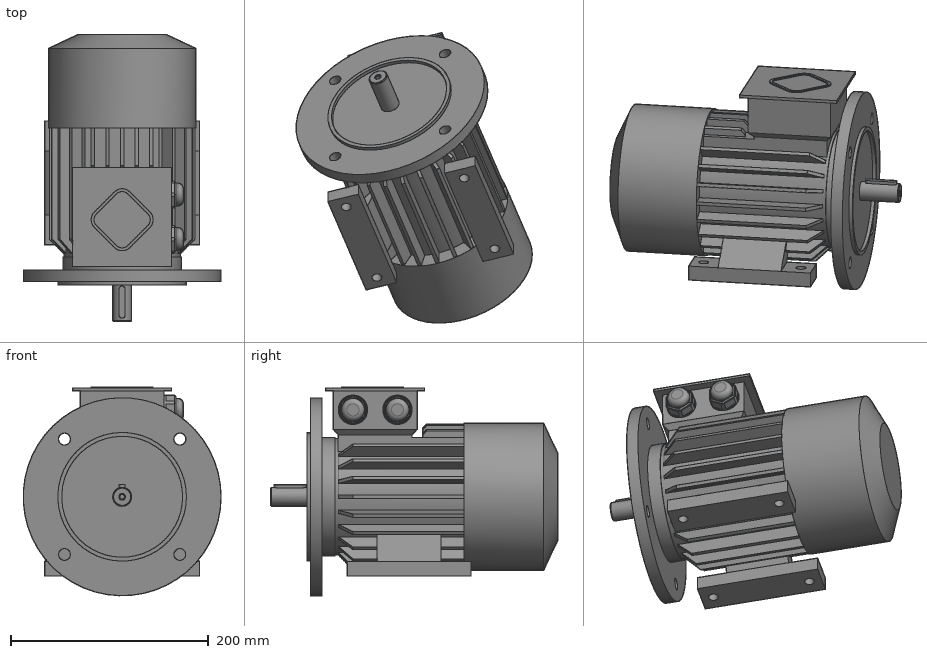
import cadquery as cq
import math


OVERALL_LENGTH = 290.0

SHAFT_TIP_Y = -40.0
SHAFT_DIA = 19.0
SHAFT_CHAMFER = 1.0
CENTRE_HOLE_DIA = 5.0
CENTRE_HOLE_DEPTH = 8.7
CENTRE_HOLE_CHAMFER = 1.0
KEY_WIDTH = 6.0
KEY_TOP_Z = 12.2
KEY_START_Y = -36.8
KEY_END_Y = -4.4

FLANGE_DIA = 200.0
FLANGE_THICKNESS = 12.0
FLANGE_HOLE_DIA = 12.0
FLANGE_HOLE_OFFSET = 58.3
PILOT_DIA = 130.0
PILOT_HEIGHT = 3.5
RECESS_DIA = 122.0
RECESS_DEPTH = 3.5

COLLAR_DIA = 120.0
COLLAR_END_Y = 25.0
BODY_DIA = 118.0
COVER_START_Y = 155.2
COVER_CONE_Y = 235.8
COVER_END_Y = SHAFT_TIP_Y + OVERALL_LENGTH
COVER_DIA = 149.0
COVER_END_DIA = 88.7

FIN_THICKNESS = 3.5
FIN_TIP_RADIUS = 73.7
FIN_START_Y = 28.5
FIN_PITCH_ANGLE = 15
FIRST_FIN_ANGLE = 135
LAST_FIN_ANGLE = 405
TOP_FIN_COUNT = 5
TOP_FIN_PITCH = 14.8
TOP_FIN_START_Y = 113.5
TOP_FIN_CHAMFER = 4.0

BOX_CENTRE_Y = 65.5
BOX_SIZE = 85.0
NECK_SIZE = 74.8
PAD_TOP_Z = 60.0
NECK_TOP_Z = 62.5
BOX_BOTTOM_Z = 68.2
LID_SIZE = 100.0
LID_BOTTOM_Z = 107.0
LID_TOP_Z = 110.0
EMBLEM_TOP_Z = 111.0
EMBLEM_CENTRE_Y = 62.5
EMBLEM_SIZE = 50.8
EMBLEM_CORNER_RADIUS = 11.0
EMBLEM_RIM = 3.0

GLAND_SPACING = 45.0
GLAND_Z = 88.0
GLAND_DIA = 29.5
GLAND_ACROSS_FLATS = 27.3
GLAND_FLATS_START_X = 44.0
GLAND_FLATS_END_X = 52.8
GLAND_NUT_END_X = 54.5
GLAND_TAPER_TIP_DIA = 26.7
GLAND_CAP_END_X = 61.8
GLAND_CAP_DIA = 23.2
GLAND_CAP_ROUND = 5.5

FOOT_OUTER_X = 78.3
FOOT_WIDTH = 32.5
FOOT_TOP_Z = -65.2
FOOT_BOTTOM_Z = -80.0
FOOT_START_Y = 37.0
FOOT_LENGTH = 125.3
FOOT_HOLE_DIA = 10.0
FOOT_HOLE_X = 62.5
FOOT_HOLE_SPACING = 100.0
GUSSET_LENGTH = 64.7
GUSSET_TOP_X = 45.0
GUSSET_TOP_Z = -38.3
GUSSET_ROOT_X = 34.8


def disc(diameter, start_y, end_y):
    """Cylinder on the shaft axis between two Y positions."""
    return cq.Workplane("XZ", origin=(0, start_y, 0)).circle(diameter / 2).extrude(start_y - end_y)


def box_between(x_range, y_range, z_range):
    """Box given by its limits along each axis."""
    lows = (x_range[0], y_range[0], z_range[0])
    sizes = [high - low for low, high in (x_range, y_range, z_range)]
    return cq.Workplane("XY").box(*sizes, centered=False).translate(lows)


def spin(radius_y_points):
    """Solid of revolution about the shaft axis from (radius, y) points."""
    return cq.Workplane("XY").polyline(radius_y_points).close().revolve(360, (0, 0, 0), (0, 1, 0))


def make_flange():
    flange = disc(FLANGE_DIA, 0, FLANGE_THICKNESS)
    holes = (
        cq.Workplane("XZ")
        .rect(2 * FLANGE_HOLE_OFFSET, 2 * FLANGE_HOLE_OFFSET, forConstruction=True)
        .vertices()
        .circle(FLANGE_HOLE_DIA / 2)
        .extrude(-FLANGE_THICKNESS)
    )
    pilot = disc(PILOT_DIA, -PILOT_HEIGHT, 0)
    recess = disc(RECESS_DIA, -PILOT_HEIGHT, RECESS_DEPTH - PILOT_HEIGHT)
    return flange.cut(holes).union(pilot).cut(recess)


def make_shaft():
    shaft = disc(SHAFT_DIA, SHAFT_TIP_Y, FLANGE_THICKNESS).faces("<Y").chamfer(SHAFT_CHAMFER)
    key_length = KEY_END_Y - KEY_START_Y
    key = (
        cq.Workplane("XY", origin=(0, (KEY_START_Y + KEY_END_Y) / 2, 0))
        .slot2D(key_length, KEY_WIDTH, 90)
        .extrude(KEY_TOP_Z)
    )
    centre_hole = disc(CENTRE_HOLE_DIA, SHAFT_TIP_Y, SHAFT_TIP_Y + CENTRE_HOLE_DEPTH)
    countersink_radius = CENTRE_HOLE_DIA / 2 + CENTRE_HOLE_CHAMFER
    countersink = spin([
        (0, SHAFT_TIP_Y),
        (countersink_radius, SHAFT_TIP_Y),
        (0, SHAFT_TIP_Y + countersink_radius),
    ])
    return shaft.union(key).cut(centre_hole).cut(countersink)


def make_housing():
    collar = disc(COLLAR_DIA, FLANGE_THICKNESS, COLLAR_END_Y)
    body = disc(BODY_DIA, COLLAR_END_Y, COVER_START_Y)
    cover = spin([
        (0, COVER_START_Y),
        (COVER_DIA / 2, COVER_START_Y),
        (COVER_DIA / 2, COVER_CONE_Y),
        (COVER_END_DIA / 2, COVER_END_Y),
        (0, COVER_END_Y),
    ])
    return collar.union(body).union(cover)


def fin_envelope(start_y, start_radius):
    """Fin tip cylinder with a 45 degree taper down to start_radius at start_y."""
    taper_end_y = start_y + FIN_TIP_RADIUS - start_radius
    return spin([
        (0, start_y),
        (start_radius, start_y),
        (FIN_TIP_RADIUS, taper_end_y),
        (FIN_TIP_RADIUS, COVER_START_Y),
        (0, COVER_START_Y),
    ])


def make_radial_fins():
    fin_y = (FIN_START_Y, COVER_START_Y)
    half = FIN_THICKNESS / 2
    blade = box_between((0, COVER_DIA / 2), fin_y, (-half, half))
    fins = disc(BODY_DIA, *fin_y)
    for angle in range(FIRST_FIN_ANGLE, LAST_FIN_ANGLE + 1, FIN_PITCH_ANGLE):
        fins = fins.union(blade.rotate((0, 0, 0), (0, 1, 0), -angle))
    return fins.intersect(fin_envelope(FIN_START_Y, BODY_DIA / 2))


def make_top_fins():
    fins = cq.Workplane("XY")
    for index in range(TOP_FIN_COUNT):
        centre_x = (index - (TOP_FIN_COUNT - 1) / 2) * TOP_FIN_PITCH
        x_range = (centre_x - FIN_THICKNESS / 2, centre_x + FIN_THICKNESS / 2)
        fins = fins.union(box_between(x_range, (TOP_FIN_START_Y, COVER_START_Y), (0, COVER_DIA / 2)))
    return fins.intersect(fin_envelope(TOP_FIN_START_Y, FIN_TIP_RADIUS - TOP_FIN_CHAMFER))


def square_block(size, bottom_z, top_z):
    """Square block centred on the terminal box."""
    return (
        cq.Workplane("XY", origin=(0, BOX_CENTRE_Y, bottom_z)).rect(size, size).extrude(top_z - bottom_z)
    )


def make_terminal_box():
    half_neck = NECK_SIZE / 2
    pad = box_between((-half_neck, half_neck), (BOX_CENTRE_Y - half_neck, COVER_START_Y), (0, PAD_TOP_Z))
    neck = square_block(NECK_SIZE, 0, NECK_TOP_Z)
    flare = (
        cq.Workplane("XY", origin=(0, BOX_CENTRE_Y, NECK_TOP_Z))
        .rect(NECK_SIZE, NECK_SIZE)
        .workplane(offset=BOX_BOTTOM_Z - NECK_TOP_Z)
        .rect(BOX_SIZE, BOX_SIZE)
        .loft(ruled=True)
    )
    box = square_block(BOX_SIZE, BOX_BOTTOM_Z, LID_BOTTOM_Z)
    lid = square_block(LID_SIZE, LID_BOTTOM_Z, LID_TOP_Z)
    return pad.union(neck).union(flare).union(box).union(lid)


def emblem_plate(inset):
    """Rounded square standing on its corner, shrunk by inset on every side."""
    side = EMBLEM_SIZE - 2 * inset
    return (
        cq.Workplane("XY")
        .rect(side, side)
        .extrude(EMBLEM_TOP_Z - LID_TOP_Z)
        .edges("|Z")
        .fillet(EMBLEM_CORNER_RADIUS - inset)
        .rotate((0, 0, 0), (0, 0, 1), 45)
        .translate((0, EMBLEM_CENTRE_Y, LID_TOP_Z))
    )


def make_emblem_frame():
    return emblem_plate(0).cut(emblem_plate(EMBLEM_RIM))


def gland_disc(diameter, start_x, end_x):
    """Cylinder on the gland axis between two X positions."""
    return cq.Workplane("YZ", origin=(start_x, 0, 0)).circle(diameter / 2).extrude(end_x - start_x)


def gland_hexagon(corner_dia, start_x):
    """Hexagon outline around the gland axis with corners pointing up and down."""
    corner_angles = [math.radians(90 + 60 * index) for index in range(6)]
    corners = [(corner_dia / 2 * math.cos(a), corner_dia / 2 * math.sin(a)) for a in corner_angles]
    return cq.Workplane("YZ", origin=(start_x, 0, 0)).polyline(corners).close()


def make_gland():
    """One cable gland on the X axis: collar, nut with rounded corners, hexagonal taper and domed cap."""
    collar = gland_disc(GLAND_DIA, BOX_SIZE / 2, GLAND_FLATS_START_X)
    nut_corner_dia = GLAND_ACROSS_FLATS / math.cos(math.pi / 6)
    nut = (
        gland_hexagon(nut_corner_dia, GLAND_FLATS_START_X)
        .extrude(GLAND_FLATS_END_X - GLAND_FLATS_START_X)
        .intersect(gland_disc(GLAND_DIA, GLAND_FLATS_START_X, GLAND_FLATS_END_X))
    )
    base_wire = gland_hexagon(GLAND_DIA, GLAND_FLATS_END_X).val()
    tip_wire = gland_hexagon(GLAND_TAPER_TIP_DIA, GLAND_NUT_END_X).val()
    taper = cq.Workplane(cq.Solid.makeLoft([base_wire, tip_wire], True))
    cap = gland_disc(GLAND_CAP_DIA, GLAND_NUT_END_X, GLAND_CAP_END_X)
    cap = cap.faces(">X").edges().fillet(GLAND_CAP_ROUND)
    return collar.union(nut).union(taper).union(cap)


def make_foot():
    """Foot on the +X side: drilled plate and sloping gusset up to the body."""
    inner_x = FOOT_OUTER_X - FOOT_WIDTH
    centre_y = FOOT_START_Y + FOOT_LENGTH / 2
    plate = box_between(
        (inner_x, FOOT_OUTER_X),
        (FOOT_START_Y, FOOT_START_Y + FOOT_LENGTH),
        (FOOT_BOTTOM_Z, FOOT_TOP_Z),
    )
    holes = (
        cq.Workplane("XY", origin=(FOOT_HOLE_X, centre_y, FOOT_BOTTOM_Z))
        .rarray(3, FOOT_HOLE_SPACING, 1, 2)
        .circle(FOOT_HOLE_DIA / 2)
        .extrude(FOOT_TOP_Z - FOOT_BOTTOM_Z)
    )
    gusset = (
        cq.Workplane("XZ", origin=(0, centre_y, 0))
        .polyline([
            (FOOT_OUTER_X, FOOT_TOP_Z),
            (GUSSET_TOP_X, GUSSET_TOP_Z),
            (GUSSET_ROOT_X, GUSSET_TOP_Z),
            (inner_x, FOOT_TOP_Z),
        ])
        .close()
        .extrude(GUSSET_LENGTH / 2, both=True)
    )
    return plate.cut(holes).union(gusset)


result = make_housing().union(make_flange()).union(make_shaft())
result = result.union(make_radial_fins()).union(make_terminal_box()).union(make_top_fins())
result = result.union(make_emblem_frame())

gland = make_gland()
for side in (-1, 1):
    gland_y = BOX_CENTRE_Y + side * GLAND_SPACING / 2
    result = result.union(gland.translate((0, gland_y, GLAND_Z)))

foot = make_foot()
result = result.union(foot).union(foot.mirror("YZ"))